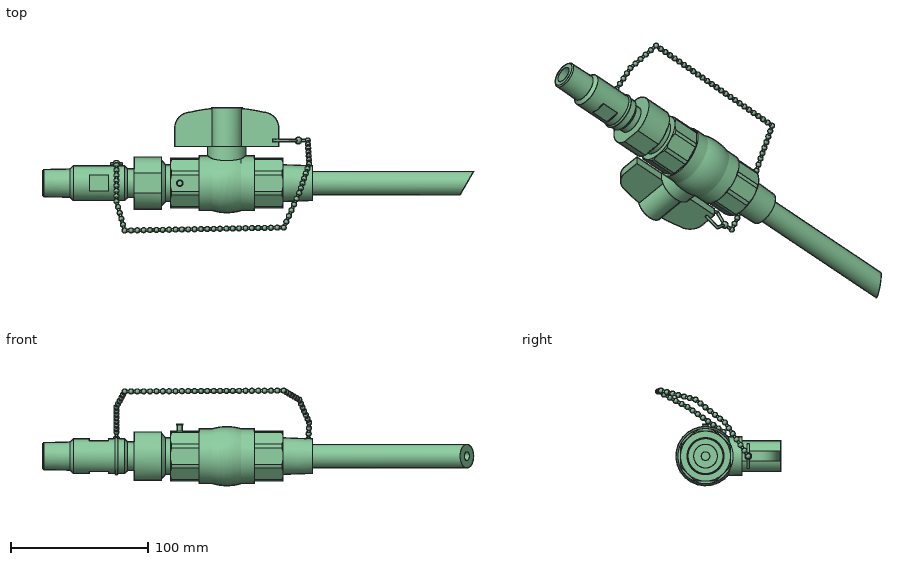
import cadquery as cq
import math

LENGTH = 314.5

TIP_DIA = 20.0
TIP_ROOT_DIA = 20.8
TIP_CHAMFER = 1.0
TIP_END = 19.8
COLLAR_START = 22.3
COLLAR_DIA = 25.5
COLLAR_END = 59.7
NECK_START = 62.0
NECK_DIA = 21.0

WRENCH_FLAT_START = 34.0
WRENCH_FLAT_LENGTH = 13.8
WRENCH_FLAT_HEIGHT = 11.3

NUT_START = 66.7
NUT_END = 86.8
NUT_DIA = 38.5
NUT_ACROSS_FLATS = 35.5
NUT_CONE_DIA = 33.3
NUT_CONE_END = 89.5
NUT_NECK_DIA = 27.0

VALVE_X = 134.3
BODY_HALF_LENGTH = 41.2
BAND_HALF_LENGTH = 20.0
BAND_DIA = 40.2
BULGE_HALF_LENGTH = 10.5
BULGE_DIA = 43.5
OCTAGON_SIDES = 8
OCTAGON_ACROSS_FLATS = 36.5
OCTAGON_CORNER_DIA = 38.5

OUTLET_END = 197.0
OUTLET_ROOT_DIA = 27.0
OUTLET_DIA = 25.5
PIPE_DIA = 17.3
PIPE_CUT_ANGLE = 60.0

INLET_BORE_DIA = 12.0
INLET_BORE_DEPTH = NUT_START
BORE_DIA = 6.3

STEM_DIA = 28.3
HANDLE_BASE_Y = 26.7
HANDLE_TOP_Y = 55.0
HUB_DIA = 22.5
WING_HALF_LENGTH = 38.0
WING_THICKNESS = 7.2
WING_TIP_Y = 40.2
WING_SHOULDER_X = 26.7
WING_SHOULDER_Y = 52.0
WING_CORNER_MID_X = 34.5
WING_CORNER_MID_Y = 48.5

PIN_X = 100.0
PIN_DIA = 3.8
PIN_HEAD_DIA = 4.7
PIN_HEAD_THICKNESS = 0.5
PIN_TOP_Z = 23.3

BEAD_DIA = 3.8
BEAD_PITCH = 4.7
WIRE_DIA = 2.0
END_BEAD_DIA = 5.0
RING_X = 53.8
EYE_Y = 14.0
EYE_Z = 8.8
EYE_DIA = 7.0
EYE_TOP_Z = EYE_Z + EYE_DIA / 2
CHAIN_END = (193.5, 31.0, 0.0)
CHAIN_CORNERS = [
    (RING_X, EYE_Y, EYE_TOP_Z),
    (RING_X, 13.2, 17.5),
    (RING_X, -13.2, 36.0),
    (59.7, -34.5, 47.2),
    (175.8, -32.5, 47.8),
    (187.0, -7.2, 41.2),
    (194.3, 14.0, 24.5),
    CHAIN_END,
]

LOOP_END_X = 186.5
LOOP_PEAK_X = 179.2
LOOP_PEAK_Z = 8.2
LOOP_WING_X = 168.0


def turned(profile):
    """Revolve (x, radius) points about the X axis, closing the outline on the axis."""
    points = [(profile[0][0], 0)] + profile + [(profile[-1][0], 0)]
    return cq.Workplane("XY").polyline(points).close().revolve(360, (0, 0, 0), (1, 0, 0))


def rod(start, end, diameter):
    """Round bar between two points."""
    a = cq.Vector(*start)
    b = cq.Vector(*end)
    return cq.Solid.makeCylinder(diameter / 2, (b - a).Length, a, b - a)


def ball(center, diameter):
    """Sphere about a point."""
    return cq.Workplane("XY").sphere(diameter / 2).translate(center).val()


def nipple():
    body = turned([
        (0, TIP_DIA / 2 - TIP_CHAMFER),
        (TIP_CHAMFER, TIP_DIA / 2),
        (TIP_END, TIP_ROOT_DIA / 2),
        (COLLAR_START, COLLAR_DIA / 2),
        (COLLAR_END, COLLAR_DIA / 2),
        (NECK_START, NECK_DIA / 2),
        (NUT_START, NECK_DIA / 2),
    ])
    for side in (1, -1):
        flat = cq.Workplane("XY").box(WRENCH_FLAT_LENGTH, COLLAR_DIA, COLLAR_DIA)
        flat_x = WRENCH_FLAT_START + WRENCH_FLAT_LENGTH / 2
        body = body.cut(flat.translate((flat_x, 0, side * (WRENCH_FLAT_HEIGHT + COLLAR_DIA / 2))))
    return body


def union_nut():
    nut = turned([(NUT_START, NUT_DIA / 2), (NUT_END, NUT_DIA / 2)])
    flats = cq.Workplane("XY").box(LENGTH, NUT_DIA, NUT_ACROSS_FLATS)
    cone = turned([
        (NUT_END, NUT_CONE_DIA / 2),
        (NUT_CONE_END, NUT_NECK_DIA / 2),
        (VALVE_X - BODY_HALF_LENGTH, NUT_NECK_DIA / 2),
    ])
    return nut.intersect(flats).union(cone)


def octagon_body():
    """Octagonal bar whose corners are rounded and bevelled at both ends."""
    start = VALVE_X - BODY_HALF_LENGTH
    end = VALVE_X + BODY_HALF_LENGTH
    sharp_diameter = OCTAGON_ACROSS_FLATS / math.cos(math.pi / OCTAGON_SIDES)
    octagon = (
        cq.Workplane("YZ")
        .transformed(rotate=(0, 0, 180 / OCTAGON_SIDES))
        .polygon(OCTAGON_SIDES, sharp_diameter)
        .extrude(end - start)
        .translate((start, 0, 0))
    )
    bevel = (OCTAGON_CORNER_DIA - OCTAGON_ACROSS_FLATS) / 2
    envelope = turned([
        (start, OCTAGON_ACROSS_FLATS / 2),
        (start + bevel, OCTAGON_CORNER_DIA / 2),
        (end - bevel, OCTAGON_CORNER_DIA / 2),
        (end, OCTAGON_ACROSS_FLATS / 2),
    ])
    return octagon.intersect(envelope)


def ball_housing():
    """Plain round band that swells in the middle over the valve ball."""
    band_radius = BAND_DIA / 2
    return (
        cq.Workplane("XY")
        .moveTo(VALVE_X - BAND_HALF_LENGTH, 0)
        .lineTo(VALVE_X - BAND_HALF_LENGTH, band_radius)
        .lineTo(VALVE_X - BULGE_HALF_LENGTH, band_radius)
        .threePointArc((VALVE_X, BULGE_DIA / 2), (VALVE_X + BULGE_HALF_LENGTH, band_radius))
        .lineTo(VALVE_X + BAND_HALF_LENGTH, band_radius)
        .lineTo(VALVE_X + BAND_HALF_LENGTH, 0)
        .close()
        .revolve(360, (0, 0, 0), (1, 0, 0))
    )


def outlet():
    """Tapered outlet neck and the pipe with its slanted end."""
    start = VALVE_X + BODY_HALF_LENGTH
    neck = turned([(start, OUTLET_ROOT_DIA / 2), (OUTLET_END, OUTLET_DIA / 2)])
    slant = PIPE_DIA / math.tan(math.radians(PIPE_CUT_ANGLE))
    pipe = (
        cq.Workplane("XY")
        .polyline([
            (start, -PIPE_DIA / 2),
            (LENGTH - slant, -PIPE_DIA / 2),
            (LENGTH, PIPE_DIA / 2),
            (start, PIPE_DIA / 2),
        ])
        .close()
        .extrude(PIPE_DIA / 2, both=True)
        .intersect(turned([(start, PIPE_DIA / 2), (LENGTH, PIPE_DIA / 2)]))
    )
    return neck.union(pipe)


def handle():
    stem = rod((VALVE_X, 0, 0), (VALVE_X, HANDLE_BASE_Y, 0), STEM_DIA)
    hub = rod((VALVE_X, HANDLE_BASE_Y, 0), (VALVE_X, HANDLE_TOP_Y, 0), HUB_DIA)
    wing = (
        cq.Workplane("XY")
        .moveTo(-WING_HALF_LENGTH, HANDLE_BASE_Y)
        .lineTo(WING_HALF_LENGTH, HANDLE_BASE_Y)
        .lineTo(WING_HALF_LENGTH, WING_TIP_Y)
        .threePointArc((WING_CORNER_MID_X, WING_CORNER_MID_Y), (WING_SHOULDER_X, WING_SHOULDER_Y))
        .threePointArc((0, HANDLE_TOP_Y), (-WING_SHOULDER_X, WING_SHOULDER_Y))
        .threePointArc((-WING_CORNER_MID_X, WING_CORNER_MID_Y), (-WING_HALF_LENGTH, WING_TIP_Y))
        .close()
        .extrude(WING_THICKNESS / 2, both=True)
        .translate((VALVE_X, 0, 0))
    )
    return wing.union(cq.Workplane(stem)).union(cq.Workplane(hub))


def pin():
    head_base = (PIN_X, 0, PIN_TOP_Z - PIN_HEAD_THICKNESS)
    shank = rod((PIN_X, 0, NUT_NECK_DIA / 2), head_base, PIN_DIA)
    head = rod(head_base, (PIN_X, 0, PIN_TOP_Z), PIN_HEAD_DIA)
    return cq.Workplane(shank).union(cq.Workplane(head))


def chain_parts():
    """Beads evenly spaced on each straight run, strung on a continuous wire."""
    parts = []
    for start, end in zip(CHAIN_CORNERS, CHAIN_CORNERS[1:]):
        run = cq.Vector(*end) - cq.Vector(*start)
        steps = max(1, round(run.Length / BEAD_PITCH))
        parts.append(rod(start, end, WIRE_DIA))
        for step in range(1, steps + 1):
            bead = cq.Vector(*start) + run * (step / steps)
            parts.append(ball(bead.toTuple(), BEAD_DIA))
    return parts


def nipple_ring_parts():
    """Wire ring around the nipple collar, with the eye that holds the chain."""
    axis_point = cq.Vector(RING_X, 0, 0)
    eye_center = cq.Vector(RING_X, EYE_Y, EYE_Z)
    return [
        cq.Solid.makeTorus(COLLAR_DIA / 2, WIRE_DIA / 2, axis_point, cq.Vector(1, 0, 0)),
        cq.Solid.makeTorus(EYE_DIA / 2, WIRE_DIA / 2, eye_center, cq.Vector(0, 1, 0)),
        ball((RING_X, EYE_Y, EYE_TOP_Z), END_BEAD_DIA),
    ]


def handle_loop_parts():
    """Wire loop through the wing, above and below it, tied to the chain end."""
    loop_y = CHAIN_END[1]
    tie = (LOOP_END_X, loop_y, 0)
    wing_top = (LOOP_WING_X, loop_y, WING_THICKNESS / 2)
    wing_bottom = (LOOP_WING_X, loop_y, -WING_THICKNESS / 2)
    parts = [
        rod(CHAIN_END, tie, WIRE_DIA),
        ball(tie, END_BEAD_DIA),
        rod(wing_bottom, wing_top, WIRE_DIA),
    ]
    for side, wing_exit in ((1, wing_top), (-1, wing_bottom)):
        peak = (LOOP_PEAK_X, loop_y, side * LOOP_PEAK_Z)
        parts.append(rod(tie, peak, WIRE_DIA))
        parts.append(ball(peak, WIRE_DIA))
        parts.append(rod(peak, wing_exit, WIRE_DIA))
    return parts


inlet_bore = turned([(0, INLET_BORE_DIA / 2), (INLET_BORE_DEPTH, INLET_BORE_DIA / 2)])
inlet_passage = turned([(0, BORE_DIA / 2), (VALVE_X - BAND_HALF_LENGTH, BORE_DIA / 2)])
outlet_passage = turned([(VALVE_X + BAND_HALF_LENGTH, BORE_DIA / 2), (LENGTH, BORE_DIA / 2)])

valve = nipple()
for section in (union_nut(), octagon_body(), ball_housing(), outlet(), handle(), pin()):
    valve = valve.union(section)
valve = valve.cut(inlet_bore).cut(inlet_passage).cut(outlet_passage)

tether = chain_parts() + nipple_ring_parts() + handle_loop_parts()
result = cq.Workplane(valve.val().fuse(*tether))